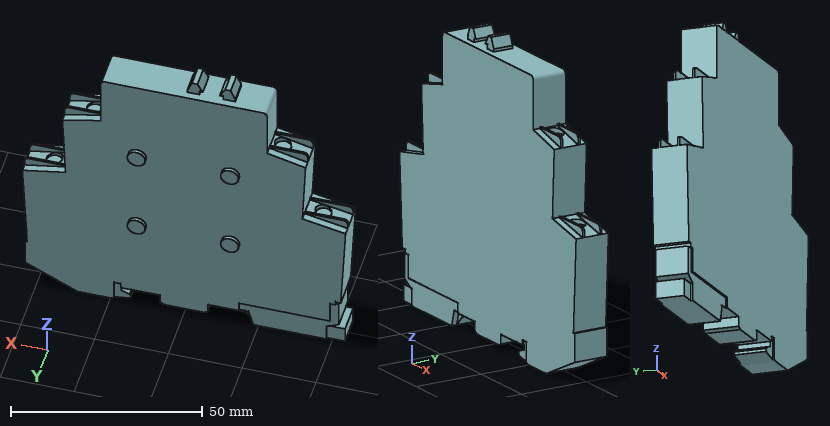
import cadquery as cq


thickness = 10.0
mid_y = thickness / 2
top_z = 80.0
tower_half_width = 22.56
tower_radius = 1.2

upper_outer, upper_foot_z, upper_head_z, upper_rib_z = 32.98, 62.7, 65.3, 65.65
lower_outer, lower_foot_z, lower_head_z, lower_rib_z = 43.83, 41.1, 43.5, 43.75
lower_inner = 32.1
rib_span = 5.9
rib_thickness = 0.6
rib_radius = 1.3
hole_diameter = 4.4
hole_sink = 1.0
upper_hole_x, lower_hole_x = 25.5, 36.45
landing_width = 0.5

skirt_half_width, skirt_z = 42.5, 14.95
neck_x, clip_top_z = -41.0, 13.9
rail_z = 4.66
foot_x, foot_slope_z = 43.05, 7.0
foot_flat_start, foot_flat_end = 20.5, 28.9
pad_half_width, pad_z = 6.5, 1.44
pad_chamfer_x, pad_chamfer_z = 1.2, 0.6

side_recess = 0.45
clip_outer_x, clip_inner_x = -41.9, -39.5
clip_shoulder_z, clip_roof_z = 6.45, 7.5
clip_end_x = -14.85
clip_jaw_top_x, clip_jaw_bottom_x = -17.4, -18.6
handle_outer_x, handle_inner_x, handle_width = -43.4, -38.4, 8.0
barb_tip_x, barb_low_z, barb_high_z, barb_width = -15.95, 2.9, 3.5, 6.0
barb_root_z = 3.2
hook_slot_x, hook_wall_x, hook_roof_z = 17.15, 19.0, 6.1
hook_tip_x, hook_tip_low_z, hook_tip_high_z = 14.5, 1.2, 2.0
hook_toe_x, hook_toe_z = 15.25, 0.85
hook_nose_x, hook_nose_z = 14.85, 2.4
hook_throat_z = 3.3
hook_wall_base_z = 0.25

stud_diameter = 4.85
stud_height = 1.02
stud_pitch = 25.3
stud_center_z = 42.0
tab_top_z, tab_barb_z, tab_heel_z = 83.69, 81.1, 80.8
tab_overlap = 0.5
tab_width = 5.85
left_tab_x, right_tab_x = -13.35, -0.35
tab_neck, tab_barb = 3.3, 0.9
tab_flank, tab_crest = 1.25, 1.5


def prism(points, width=thickness, center_y=mid_y):
    """Extrude an XZ outline along Y, centred on center_y."""
    plane = cq.Workplane("XZ", origin=(0, center_y, 0))
    return plane.polyline(points).close().extrude(width / 2, both=True)


def mirrored(shape):
    return shape.union(shape.mirror("YZ"))


def make_housing():
    outline = [
        (-tower_half_width, top_z),
        (tower_half_width, top_z),
        (tower_half_width, upper_head_z),
        (upper_outer, upper_foot_z),
        (lower_inner, lower_head_z),
        (lower_outer, lower_foot_z),
        (skirt_half_width, skirt_z),
        (foot_x, skirt_z),
        (foot_x, foot_slope_z),
        (foot_flat_end, 0),
        (foot_flat_start, 0),
        (hook_wall_x, hook_wall_base_z),
        (hook_wall_x, hook_roof_z),
        (hook_slot_x, hook_roof_z),
        (hook_slot_x, rail_z),
        (pad_half_width, rail_z),
        (pad_half_width, pad_z + pad_chamfer_z),
        (pad_half_width - pad_chamfer_x, pad_z),
        (-pad_half_width + pad_chamfer_x, pad_z),
        (-pad_half_width, pad_z + pad_chamfer_z),
        (-pad_half_width, rail_z),
        (clip_end_x, rail_z),
        (clip_end_x, clip_roof_z),
        (clip_inner_x, clip_roof_z),
        (clip_inner_x, clip_top_z),
        (neck_x, clip_top_z),
        (neck_x, skirt_z),
        (-skirt_half_width, skirt_z),
        (-lower_outer, lower_foot_z),
        (-lower_inner, lower_head_z),
        (-upper_outer, upper_foot_z),
        (-tower_half_width, upper_head_z),
    ]
    housing = prism(outline)
    return housing.faces(">Z").edges("|Y").fillet(tower_radius)


def ledge_ribs(outer, inner, foot_z, head_z, rib_z):
    """Two thin ribs standing on each sloping ledge, rounded at their outer corner."""
    outline = [(outer, foot_z), (inner, head_z), (inner, rib_z), (outer, rib_z)]
    offset = (rib_span - rib_thickness) / 2
    ribs = cq.Workplane()
    for center_y in (mid_y - offset, mid_y + offset):
        rib = prism(outline, rib_thickness, center_y)
        ribs = ribs.add(rib.edges("|Y and >X and >Z").fillet(rib_radius))
    return mirrored(ribs.combine())


def terminal_hole(hole_x, outer, inner, foot_z, head_z):
    """Shallow flat-bottomed round hole in each sloping ledge."""
    slope = (head_z - foot_z) / (outer - inner)
    floor_z = foot_z + slope * (outer - hole_x) - hole_sink
    depth = head_z - floor_z
    hole = cq.Workplane("XY", origin=(hole_x, mid_y, floor_z)).circle(hole_diameter / 2).extrude(depth)
    return mirrored(hole)


def tower_landings():
    """Small level strips between the ribs where the upper ledges meet the tower."""
    slope = (upper_head_z - upper_foot_z) / (upper_outer - tower_half_width)
    landing_x = tower_half_width + landing_width
    landing_z = upper_head_z - slope * landing_width
    outline = [
        (landing_x, landing_z),
        (tower_half_width, upper_head_z),
        (tower_half_width, landing_z),
    ]
    return mirrored(prism(outline, rib_span - 2 * rib_thickness))


def make_clip():
    outline = [
        (clip_outer_x, clip_top_z),
        (clip_inner_x, clip_top_z),
        (clip_inner_x, clip_roof_z),
        (clip_end_x, clip_roof_z),
        (clip_end_x, rail_z),
        (clip_jaw_top_x, rail_z),
        (clip_jaw_bottom_x, 0),
        (handle_inner_x, 0),
        (handle_inner_x, rail_z),
        (clip_outer_x, clip_shoulder_z),
    ]
    handle = [
        (handle_outer_x, 0),
        (handle_outer_x, rail_z),
        (handle_inner_x, rail_z),
        (handle_inner_x, 0),
    ]
    jaw_run = (clip_jaw_top_x - clip_jaw_bottom_x) / rail_z
    barb = [
        (clip_jaw_bottom_x, 0),
        (clip_jaw_bottom_x + jaw_run * barb_root_z, barb_root_z),
        (barb_tip_x, barb_high_z),
        (barb_tip_x, barb_low_z),
    ]
    clip = prism(outline, thickness - 2 * side_recess)
    return clip.union(prism(handle, handle_width)).union(prism(barb, barb_width))


def make_hook():
    outline = [
        (hook_slot_x, hook_roof_z),
        (hook_wall_x, hook_roof_z),
        (hook_wall_x, hook_wall_base_z),
        (hook_toe_x, hook_toe_z),
        (hook_tip_x, hook_tip_low_z),
        (hook_tip_x, hook_tip_high_z),
        (hook_nose_x, hook_nose_z),
        (hook_slot_x, hook_throat_z),
    ]
    return prism(outline, thickness - 2 * side_recess)


def make_studs():
    plane = cq.Workplane("XZ", origin=(0, thickness, stud_center_z))
    return plane.rarray(stud_pitch, stud_pitch, 2, 2).circle(stud_diameter / 2).extrude(-stud_height)


def tab(heel_x, barb_side):
    """Wedge-shaped tab: a plain flank at heel_x and a barbed flank towards barb_side (+1 or -1)."""
    base_z = top_z - tab_overlap
    tab_neck_x = heel_x + barb_side * tab_neck
    outline = [
        (heel_x, base_z),
        (heel_x, tab_heel_z),
        (heel_x + barb_side * tab_flank, tab_top_z),
        (heel_x + barb_side * (tab_flank + tab_crest), tab_top_z),
        (tab_neck_x + barb_side * tab_barb, tab_barb_z),
        (tab_neck_x, tab_barb_z),
        (tab_neck_x, base_z),
    ]
    return prism(outline, tab_width)


upper_ledge = (upper_outer, tower_half_width, upper_foot_z, upper_head_z)
lower_ledge = (lower_outer, lower_inner, lower_foot_z, lower_head_z)

result = make_housing()
result = result.cut(terminal_hole(upper_hole_x, *upper_ledge))
result = result.cut(terminal_hole(lower_hole_x, *lower_ledge))
result = result.cut(tower_landings())
result = result.union(ledge_ribs(*upper_ledge, upper_rib_z))
result = result.union(ledge_ribs(*lower_ledge, lower_rib_z))
result = result.union(make_clip())
result = result.union(make_hook())
result = result.union(make_studs())
result = result.union(tab(left_tab_x, 1))
result = result.union(tab(right_tab_x, -1))